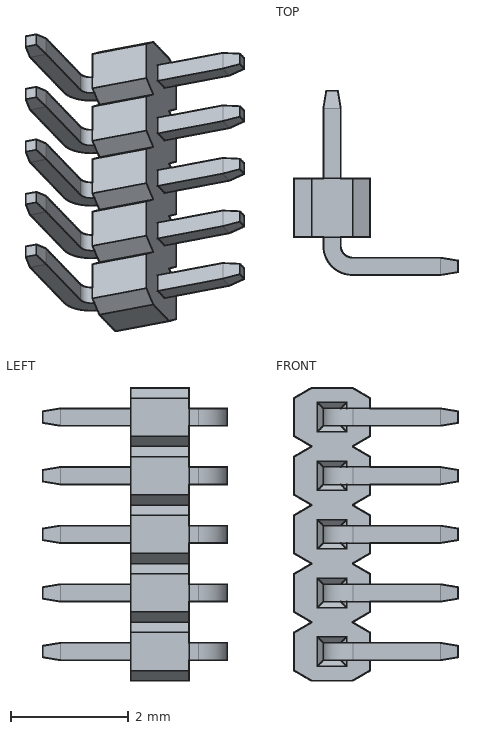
import cadquery as cq

pin_count = 5
pitch = 1.0

housing_width = 1.3
housing_depth = 1.0
chamfer_x = 0.3
chamfer_z = 0.175

pin_size = 0.3
tip_size = 0.2
tip_length = 0.3
bend_inner_radius = 0.2
bend_outer_radius = bend_inner_radius + pin_size
rear_reach = 1.5
front_reach = 0.65
side_reach = 2.15

funnel_size = 0.5
funnel_depth = 0.1

pin_heights = [(index - (pin_count - 1) / 2) * pitch for index in range(pin_count)]


def make_housing_segment(height):
    """Eight-sided block for one position, centred on the given height."""
    half_width = housing_width / 2
    half_flat = half_width - chamfer_x
    half_pitch = pitch / 2
    half_side = half_pitch - chamfer_z
    return (
        cq.Workplane("XZ", origin=(0, 0, height))
        .polyline([
            (half_flat, -half_pitch),
            (half_width, -half_side),
            (half_width, half_side),
            (half_flat, half_pitch),
            (-half_flat, half_pitch),
            (-half_width, half_side),
            (-half_width, -half_side),
            (-half_flat, -half_pitch),
        ])
        .close()
        .extrude(-housing_depth)
    )


def make_pin_hole(height):
    """Through hole that fits the pin, with its lead-in at the front face."""
    front = cq.Workplane("XZ", origin=(0, 0, height))
    hole = front.rect(pin_size, pin_size).extrude(-housing_depth)
    funnel = (
        front.rect(funnel_size, funnel_size)
        .workplane(offset=-funnel_depth)
        .rect(pin_size, pin_size)
        .loft(ruled=True)
    )
    return hole.union(funnel)


def make_housing():
    """Solid of all segments joined, with a hole at each position."""
    body = make_housing_segment(pin_heights[0])
    for height in pin_heights[1:]:
        body = body.union(make_housing_segment(height))
    for height in pin_heights:
        body = body.cut(make_pin_hole(height))
    return body.solids().val()


def make_tip(base_plane):
    """Tapered square end that grows from the given plane."""
    return (
        cq.Workplane(base_plane)
        .rect(pin_size, pin_size)
        .workplane(offset=tip_length)
        .rect(tip_size, tip_size)
        .loft(ruled=True)
    )


def make_pin(height):
    """Solid of an L-shaped square pin with a tapered tip at both ends."""
    half_size = pin_size / 2
    rear_shoulder = housing_depth + rear_reach - tip_length
    side_shoulder = side_reach - tip_length
    bent_leg_y = half_size - front_reach
    bend_center_x = bend_outer_radius - half_size
    bend_center_y = bend_outer_radius - front_reach

    straight_end = (0, rear_shoulder, height)
    bent_end = (side_shoulder, bent_leg_y, height)

    path = (
        cq.Workplane("XY", origin=(0, 0, height))
        .moveTo(0, rear_shoulder)
        .lineTo(0, bend_center_y)
        .tangentArcPoint((bend_center_x, bent_leg_y), relative=False)
        .lineTo(side_shoulder, bent_leg_y)
    )
    legs = (
        cq.Workplane("XZ", origin=straight_end)
        .rect(pin_size, pin_size)
        .sweep(path)
    )
    rear_tip = make_tip(cq.Plane(origin=straight_end, xDir=(1, 0, 0), normal=(0, 1, 0)))
    side_tip = make_tip(cq.Plane(origin=bent_end, xDir=(0, 1, 0), normal=(1, 0, 0)))
    return legs.union(rear_tip).union(side_tip).solids().val()


housing = make_housing()
pins = [make_pin(height) for height in pin_heights]

result = cq.Compound.makeCompound([housing, *pins])